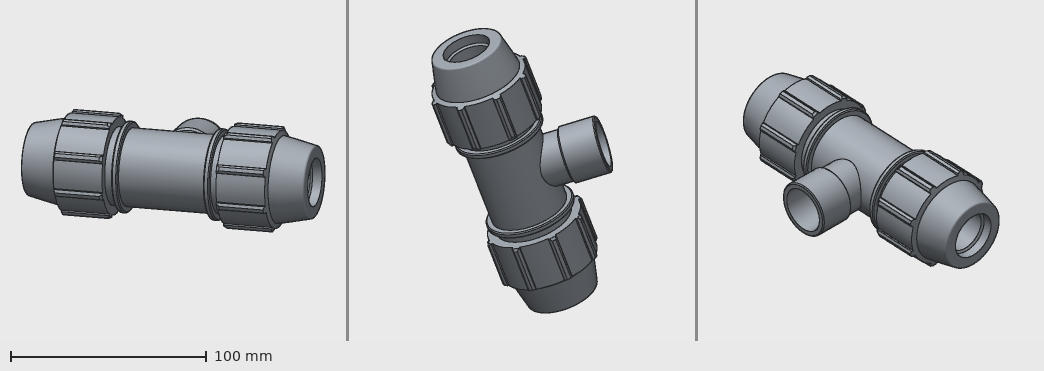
import cadquery as cq

TOTAL_LENGTH = 151.0
HALF_LENGTH = TOTAL_LENGTH / 2
BODY_DIAMETER = 40.5
BORE_DIAMETER = 22.5
SOCKET_DIAMETER = 25.0
SOCKET_DEPTH = 5.0
SOCKET_TAPER_LENGTH = 0.9

FLANGE_DIAMETER = 46.98
FLANGE_WIDTH = 3.0
FLANGE_CHAMFER = 0.6
FLANGE_INNER_X = 23.0

NOSE_LENGTH = 18.1
NOSE_TIP_RADIUS = 18.7
NOSE_ROOT_RADIUS = 22.6
NOSE_BULGE = 0.1
NOSE_EDGE_FILLET = 1.1
NUT_END = 45.1
NUT_RADIUS = 25.2
NUT_FACE_SLOPE = 0.4
ENVELOPE_MARGIN = 1.0

RIB_COUNT = 8
RIB_TIP_RADIUS = 27.08
RIB_WIDTH = 4.4
RIB_CHAMFER = 1.2
RIB_END_CHAMFER_LENGTH = 1.5
RIB_END_CHAMFER_DEPTH = 0.8

BRANCH_LENGTH = 48.0
COLLAR_DIAMETER = 30.15
COLLAR_START = 28.8
COLLAR_TAPER_LENGTH = 0.9
COLLAR_EDGE_CHAMFER = 0.6
NECK_DIAMETER = 27.73
BRANCH_BORE_DIAMETER = 24.12


def x_cylinder(diameter, x_start, x_end):
    """Cylinder around the X axis between two X positions."""
    return cq.Workplane("YZ").workplane(offset=x_start).circle(diameter / 2).extrude(x_end - x_start)


def revolve_about_x(profile):
    """Revolve a closed XY profile a full turn around the X axis."""
    return profile.close().revolve(360, (0, 0, 0), (1, 0, 0))


def make_nose():
    """Bulged cone at the -X end, with a rounded front edge."""
    tip_x = -HALF_LENGTH
    root_x = tip_x + NOSE_LENGTH
    middle = (
        (tip_x + root_x) / 2,
        (NOSE_TIP_RADIUS + NOSE_ROOT_RADIUS) / 2 + NOSE_BULGE,
    )
    profile = (
        cq.Workplane("XY")
        .moveTo(tip_x, 0)
        .lineTo(tip_x, NOSE_TIP_RADIUS)
        .threePointArc(middle, (root_x, NOSE_ROOT_RADIUS))
        .lineTo(root_x, 0)
    )
    return revolve_about_x(profile).faces("<X").edges().fillet(NOSE_EDGE_FILLET)


def make_rib():
    """One grip rib pointing to +Z, with bevelled long edges and a bevelled inner end."""
    half_width = RIB_WIDTH / 2
    half_tip = half_width - RIB_CHAMFER
    shoulder_radius = RIB_TIP_RADIUS - RIB_CHAMFER
    x_start = -HALF_LENGTH + NOSE_LENGTH
    x_end = -HALF_LENGTH + NUT_END
    rib = (
        cq.Workplane("YZ")
        .workplane(offset=x_start)
        .polyline([
            (-half_width, 0),
            (-half_width, shoulder_radius),
            (-half_tip, RIB_TIP_RADIUS),
            (half_tip, RIB_TIP_RADIUS),
            (half_width, shoulder_radius),
            (half_width, 0),
        ])
        .close()
        .extrude(x_end - x_start)
    )
    end_bevel = (
        cq.Workplane("XZ")
        .moveTo(x_end - RIB_END_CHAMFER_LENGTH, RIB_TIP_RADIUS)
        .lineTo(x_end, RIB_TIP_RADIUS)
        .lineTo(x_end, RIB_TIP_RADIUS - RIB_END_CHAMFER_DEPTH)
        .close()
        .extrude(half_width, both=True)
    )
    return rib.cut(end_bevel)


def make_nut():
    """Ribbed ring behind the nose; its front face is a shallow cone that also trims the ribs."""
    x_start = -HALF_LENGTH + NOSE_LENGTH
    x_end = -HALF_LENGTH + NUT_END
    nut = x_cylinder(2 * NUT_RADIUS, x_start, x_end)
    rib = make_rib()
    rib_pitch = 360 / RIB_COUNT
    for index in range(RIB_COUNT):
        nut = nut.union(rib.rotate((0, 0, 0), (1, 0, 0), (index + 0.5) * rib_pitch))

    envelope_radius = RIB_TIP_RADIUS + ENVELOPE_MARGIN
    setback = NUT_FACE_SLOPE * (envelope_radius - NOSE_ROOT_RADIUS)
    envelope = (
        cq.Workplane("XY")
        .moveTo(x_start, 0)
        .lineTo(x_start, NOSE_ROOT_RADIUS)
        .lineTo(x_start + setback, envelope_radius)
        .lineTo(x_end, envelope_radius)
        .lineTo(x_end, 0)
    )
    return nut.intersect(revolve_about_x(envelope))


def make_flange():
    """Ring on the -X half of the body with both outer edges bevelled."""
    ring = x_cylinder(FLANGE_DIAMETER, -FLANGE_INNER_X - FLANGE_WIDTH, -FLANGE_INNER_X)
    return ring.edges().chamfer(FLANGE_CHAMFER)


def make_branch():
    """Neck and wider collar around the Y axis, starting at the axis of the run."""
    neck_radius = NECK_DIAMETER / 2
    collar_radius = COLLAR_DIAMETER / 2
    profile = (
        cq.Workplane("XY")
        .lineTo(neck_radius, 0)
        .lineTo(neck_radius, COLLAR_START - COLLAR_TAPER_LENGTH)
        .lineTo(collar_radius, COLLAR_START)
        .lineTo(collar_radius, BRANCH_LENGTH - COLLAR_EDGE_CHAMFER)
        .lineTo(collar_radius - COLLAR_EDGE_CHAMFER, BRANCH_LENGTH)
        .lineTo(0, BRANCH_LENGTH)
        .close()
    )
    return profile.revolve(360, (0, 0, 0), (0, 1, 0))


def make_socket():
    """Pipe socket at the -X end, tapering down to the run bore."""
    tip_x = -HALF_LENGTH
    taper_x = tip_x + SOCKET_DEPTH
    profile = (
        cq.Workplane("XY")
        .moveTo(tip_x, 0)
        .lineTo(tip_x, SOCKET_DIAMETER / 2)
        .lineTo(taper_x, SOCKET_DIAMETER / 2)
        .lineTo(taper_x + SOCKET_TAPER_LENGTH, BORE_DIAMETER / 2)
        .lineTo(taper_x + SOCKET_TAPER_LENGTH, 0)
    )
    return revolve_about_x(profile)


def make_bores():
    """Through bore of the run, a socket at each end and the branch bore down to the run axis."""
    socket = make_socket()
    branch_bore = cq.Workplane("XZ").circle(BRANCH_BORE_DIAMETER / 2).extrude(-BRANCH_LENGTH)
    return (
        x_cylinder(BORE_DIAMETER, -HALF_LENGTH, HALF_LENGTH)
        .union(socket)
        .union(socket.mirror("YZ"))
        .union(branch_bore)
    )


nut_inner_x = HALF_LENGTH - NUT_END
body = x_cylinder(BODY_DIAMETER, -nut_inner_x, nut_inner_x)
end_fitting = make_nose().union(make_nut()).union(make_flange())
result = (
    body.union(end_fitting)
    .union(end_fitting.mirror("YZ"))
    .union(make_branch())
    .cut(make_bores())
)